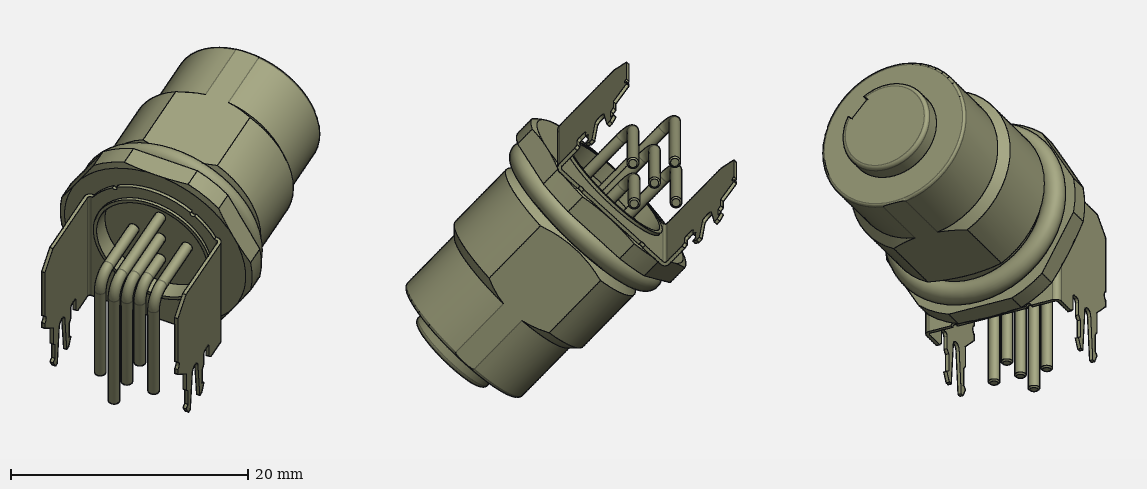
import cadquery as cq
import math


OVERALL_LENGTH = 28.4

FLANGE_ACROSS_FLATS = 16.98
FLANGE_CORNER_RADIUS = 9.0
FLANGE_THICKNESS = 2.0
FLANGE_CHAMFER_LENGTH = 0.2
NECK_RADIUS = 6.5
BARREL_RADIUS = 7.55
BARREL_REAR = 4.85
BARREL_FRONT = 11.15
NOSE_RADIUS = 6.8
NOSE_FRONT = 18.03
NOSE_EDGE_RADIUS = 0.23
REAR_CONE_LENGTH = 0.68
FRONT_CONE_LENGTH = 0.8
BARREL_ACROSS_FLATS = 13.4

RING_CORD_RADIUS = 1.0

INSERT_FRONT = 19.62
INSERT_RADIUS = 4.1
INSERT_EDGE_RADIUS = 0.35
HEAD_RADIUS = 5.5
HEAD_SEAT = FLANGE_THICKNESS
RIM_PROJECTION = 0.6
CUP_RADIUS = 5.2
CUP_FLOOR = 1.02
KEYWAY_ANGLE = 43.7
KEYWAY_WIDTH = 2.13
KEYWAY_DEPTH = 0.8

PIN_PITCH = 2.5
PIN_DIAMETER = 1.0
PIN_BEND_RADIUS = 1.5
PIN_DROP = 5.45
PIN_BOTTOM = -11.5
PIN_TIP_CHAMFER = 0.15
PIN_ROOT = 0.28

SHEET = 0.3
BRACKET_HALF_WIDTH = 6.4
BRACKET_BEND_RADIUS = 0.55
BRACKET_CROWN_RADIUS = 6.7
BRACKET_BOTTOM = -8.38
WING_LENGTH = OVERALL_LENGTH - INSERT_FRONT
WING_TOP = 3.52
WING_TOP_CHAMFER_Y = 1.55
WING_TOP_CHAMFER_Z = 1.48
END_NOTCH_Z = -3.65
END_NOTCH_HALF_WIDTH = 0.43
END_NOTCH_DEPTH = 0.25
WING_END_BOTTOM = -4.7
WING_SLOPE_BOTTOM = -6.1
SLOT_TOP = -6.55
RELIEF_SLOT_EDGE = 2.73
RELIEF_SLOT_CORNER = 0.28
RELIEF_SLOT_CHAMFER = 0.3
LEG_ROOT_OFFSET = 1.7
LEG_OUTER_OFFSET = 1.4
LEG_SHOULDER_TOP = -8.07
LEG_SHOULDER_BOTTOM = -8.4
BARB_ROOT = -10.05
BARB_TIP_OFFSET = 1.73
BARB_TIP = -10.28
FOOT_OUTER_OFFSET = 1.28
FOOT_INNER_OFFSET = 0.9
FOOT_BOTTOM = -11.1
LEG_GAP_RADIUS = 0.55
PLATE_NOTCH_RADIUS = 0.23
TOP_NOTCH_X = 3.65
BOTTOM_NOTCH_X = 3.55


def cylinder(radius, rear, front):
    """Cylinder on the Y axis between two Y positions."""
    return cq.Workplane("XZ", origin=(0, front, 0)).circle(radius).extrude(front - rear)


def make_flange():
    hexagon_diameter = FLANGE_ACROSS_FLATS / math.cos(math.pi / 6)
    hexagon = (
        cq.Workplane("XZ", origin=(0, FLANGE_THICKNESS, 0))
        .polygon(6, hexagon_diameter)
        .extrude(FLANGE_THICKNESS)
    )
    turned_blank = (
        cq.Workplane("XY")
        .moveTo(0, 0)
        .lineTo(FLANGE_ACROSS_FLATS / 2, 0)
        .lineTo(FLANGE_CORNER_RADIUS, FLANGE_CHAMFER_LENGTH)
        .lineTo(FLANGE_CORNER_RADIUS, FLANGE_THICKNESS)
        .lineTo(0, FLANGE_THICKNESS)
        .close()
        .revolve(360, (0, 0, 0), (0, 1, 0))
    )
    return hexagon.intersect(turned_blank)


def make_barrel():
    barrel = (
        cq.Workplane("XY")
        .moveTo(0, 0)
        .lineTo(NECK_RADIUS, 0)
        .lineTo(NECK_RADIUS, BARREL_REAR - REAR_CONE_LENGTH)
        .lineTo(BARREL_RADIUS, BARREL_REAR)
        .lineTo(BARREL_RADIUS, BARREL_FRONT)
        .lineTo(NOSE_RADIUS, BARREL_FRONT + FRONT_CONE_LENGTH)
        .lineTo(NOSE_RADIUS, NOSE_FRONT)
        .lineTo(0, NOSE_FRONT)
        .close()
        .revolve(360, (0, 0, 0), (0, 1, 0))
        .faces(">Y")
        .edges()
        .fillet(NOSE_EDGE_RADIUS)
    )
    between_flats = cq.Workplane("XY").box(
        2 * BARREL_RADIUS, NOSE_FRONT, BARREL_ACROSS_FLATS, centered=(True, False, True)
    )
    return barrel.intersect(between_flats)


def make_housing():
    stepped_bore = cylinder(HEAD_RADIUS, 0, HEAD_SEAT).union(cylinder(INSERT_RADIUS, 0, NOSE_FRONT))
    return make_flange().union(make_barrel()).cut(stepped_bore)


def make_sealing_ring():
    ring_radius = NECK_RADIUS + RING_CORD_RADIUS
    return (
        cq.Workplane("XY")
        .center(ring_radius, FLANGE_THICKNESS + RING_CORD_RADIUS)
        .circle(RING_CORD_RADIUS)
        .revolve(360, (-ring_radius, 0, 0), (-ring_radius, 1, 0))
    )


def make_pin(x, z):
    """Right-angle pin: a higher pin turns down further behind the flange."""
    root_y = CUP_FLOOR + PIN_ROOT
    leg_y = -PIN_DROP - z
    bend_y = leg_y + PIN_BEND_RADIUS
    bend_z = z - PIN_BEND_RADIUS
    bend_mid = PIN_BEND_RADIUS * math.sqrt(0.5)
    path = (
        cq.Workplane("YZ", origin=(x, 0, 0))
        .moveTo(root_y, z)
        .lineTo(bend_y, z)
        .threePointArc((bend_y - bend_mid, bend_z + bend_mid), (leg_y, bend_z))
        .lineTo(leg_y, PIN_BOTTOM)
    )
    pin = cq.Workplane("XZ", origin=(x, root_y, z)).circle(PIN_DIAMETER / 2).sweep(path)
    return pin.faces("<Z").edges().chamfer(PIN_TIP_CHAMFER)


def make_contact_insert():
    stem = cylinder(INSERT_RADIUS, 0, INSERT_FRONT)
    stem = stem.faces(">Y").edges().fillet(INSERT_EDGE_RADIUS)
    insert = stem.union(cylinder(HEAD_RADIUS, -RIM_PROJECTION, HEAD_SEAT))
    insert = insert.cut(cylinder(CUP_RADIUS, -RIM_PROJECTION, CUP_FLOOR))
    keyway = (
        cq.Workplane("XY")
        .box(INSERT_RADIUS, INSERT_FRONT - NOSE_FRONT, KEYWAY_WIDTH, centered=(False, False, True))
        .translate((INSERT_RADIUS - KEYWAY_DEPTH, NOSE_FRONT, 0))
        .rotate((0, 0, 0), (0, 1, 0), -KEYWAY_ANGLE)
    )
    insert = insert.cut(keyway)
    for column, row in [(0, 0), (1, 0), (-1, 0), (0, 1), (0, -1)]:
        insert = insert.union(make_pin(column * PIN_PITCH, row * PIN_PITCH))
    return insert


def make_wing_outline():
    """Side outline of the bent-up wings as a prism across the whole bracket width."""
    gap_y = -PIN_DROP
    gap_top = SLOT_TOP - LEG_GAP_RADIUS
    slot_near = -RELIEF_SLOT_EDGE
    slot_far = gap_y + LEG_ROOT_OFFSET

    def leg_side(side):
        """Outer edge and foot of one leg, from root to inner foot corner; side is +1 or -1 along Y."""
        points = [
            (LEG_ROOT_OFFSET, LEG_SHOULDER_TOP),
            (LEG_OUTER_OFFSET, LEG_SHOULDER_BOTTOM),
            (LEG_OUTER_OFFSET, BARB_ROOT),
            (BARB_TIP_OFFSET, BARB_TIP),
            (FOOT_OUTER_OFFSET, FOOT_BOTTOM),
            (FOOT_INNER_OFFSET, FOOT_BOTTOM),
        ]
        return [(gap_y + side * offset, z) for offset, z in points]

    outline = cq.Workplane("YZ", origin=(-BRACKET_HALF_WIDTH, 0, 0)).moveTo(0, WING_TOP)
    outline = outline.lineTo(0, BRACKET_BOTTOM)
    outline = outline.lineTo(slot_near + RELIEF_SLOT_CHAMFER, BRACKET_BOTTOM)
    outline = outline.lineTo(slot_near, BRACKET_BOTTOM + RELIEF_SLOT_CHAMFER)
    outline = outline.lineTo(slot_near, SLOT_TOP - RELIEF_SLOT_CORNER)
    outline = outline.radiusArc((slot_near - RELIEF_SLOT_CORNER, SLOT_TOP), -RELIEF_SLOT_CORNER)
    outline = outline.lineTo(slot_far + RELIEF_SLOT_CORNER, SLOT_TOP)
    outline = outline.radiusArc((slot_far, SLOT_TOP - RELIEF_SLOT_CORNER), -RELIEF_SLOT_CORNER)
    for point in leg_side(1):
        outline = outline.lineTo(*point)
    outline = outline.lineTo(gap_y + LEG_GAP_RADIUS, gap_top)
    outline = outline.threePointArc((gap_y, SLOT_TOP), (gap_y - LEG_GAP_RADIUS, gap_top))
    for point in reversed(leg_side(-1)):
        outline = outline.lineTo(*point)
    outline = outline.lineTo(gap_y - LEG_ROOT_OFFSET, WING_SLOPE_BOTTOM)
    outline = outline.lineTo(-WING_LENGTH, WING_END_BOTTOM)
    outline = outline.lineTo(-WING_LENGTH, END_NOTCH_Z - END_NOTCH_HALF_WIDTH)
    outline = outline.threePointArc(
        (-WING_LENGTH + END_NOTCH_DEPTH, END_NOTCH_Z),
        (-WING_LENGTH, END_NOTCH_Z + END_NOTCH_HALF_WIDTH),
    )
    outline = outline.lineTo(-WING_LENGTH, WING_TOP - WING_TOP_CHAMFER_Z)
    outline = outline.lineTo(-WING_LENGTH + WING_TOP_CHAMFER_Y, WING_TOP)
    return outline.close().extrude(2 * BRACKET_HALF_WIDTH)


def make_channel():
    """U-shaped sheet section: plate against the flange and two wings, with rounded bends."""
    height = WING_TOP - FOOT_BOTTOM

    def block(half_width, front, bend_radius):
        return (
            cq.Workplane("XY", origin=(0, front, FOOT_BOTTOM))
            .rect(2 * half_width, 2 * WING_LENGTH)
            .extrude(height)
            .edges("|Z and >Y")
            .fillet(bend_radius)
        )

    outside = block(BRACKET_HALF_WIDTH, -WING_LENGTH, BRACKET_BEND_RADIUS)
    inside = block(BRACKET_HALF_WIDTH - SHEET, -WING_LENGTH - SHEET, BRACKET_BEND_RADIUS - SHEET)
    return outside.cut(inside)


def make_shield_bracket():
    crown_width = 2 * (BRACKET_HALF_WIDTH - BRACKET_BEND_RADIUS)
    crown = cylinder(BRACKET_CROWN_RADIUS, -SHEET, 0).intersect(
        cq.Workplane("XY").box(crown_width, 2 * SHEET, BRACKET_CROWN_RADIUS, centered=(True, True, False))
    )
    bracket = make_channel().intersect(make_wing_outline()).union(crown)
    bracket = bracket.cut(cylinder(HEAD_RADIUS, -SHEET, 0))
    top_notch_z = math.sqrt(BRACKET_CROWN_RADIUS**2 - TOP_NOTCH_X**2)
    notch_places = [
        (side * x, z)
        for x, z in [(TOP_NOTCH_X, top_notch_z), (BOTTOM_NOTCH_X, BRACKET_BOTTOM)]
        for side in (-1, 1)
    ]
    notches = cq.Workplane("XZ").pushPoints(notch_places).circle(PLATE_NOTCH_RADIUS).extrude(SHEET)
    return bracket.cut(notches)


housing = make_housing()
sealing_ring = make_sealing_ring()
contact_insert = make_contact_insert()
shield_bracket = make_shield_bracket()

result = cq.Compound.makeCompound(
    [housing.val(), sealing_ring.val(), contact_insert.val(), shield_bracket.val()]
)